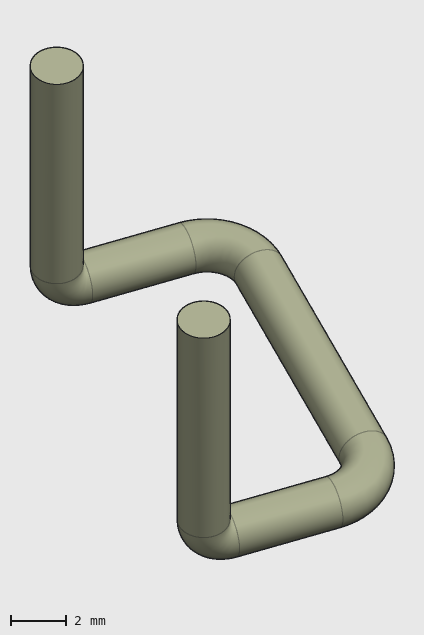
import cadquery as cq
import math

width = 15.9
depth = 8.9
height = 11.95

wire_diameter = 1.91
corner_bend_radius = 2.0
leg_bend_radius = 1.0

wire_radius = wire_diameter / 2
leg_x = width / 2 - wire_radius
leg_y = wire_radius
back_y = depth - wire_radius
base_z = wire_radius
arm_start_y = leg_y + leg_bend_radius
arm_end_y = back_y - corner_bend_radius
bar_end_x = leg_x - corner_bend_radius
leg_start_z = base_z + leg_bend_radius

midpoint_inset = 1 - math.sqrt(0.5)


def leg_bend(side):
    """Centreline arc from the upright leg down into the horizontal arm."""
    inset = leg_bend_radius * midpoint_inset
    x = side * leg_x
    return cq.Edge.makeThreePointArc(
        cq.Vector(x, leg_y, leg_start_z),
        cq.Vector(x, leg_y + inset, base_z + inset),
        cq.Vector(x, arm_start_y, base_z),
    )


def corner_bend(side):
    """Centreline arc from the horizontal arm into the back bar."""
    inset = corner_bend_radius * midpoint_inset
    return cq.Edge.makeThreePointArc(
        cq.Vector(side * leg_x, arm_end_y, base_z),
        cq.Vector(side * (leg_x - inset), back_y - inset, base_z),
        cq.Vector(side * bar_end_x, back_y, base_z),
    )


def side_edges(side):
    """Centreline of one side: leg, leg bend, arm and corner bend."""
    x = side * leg_x
    leg = cq.Edge.makeLine(cq.Vector(x, leg_y, height), cq.Vector(x, leg_y, leg_start_z))
    arm = cq.Edge.makeLine(cq.Vector(x, arm_start_y, base_z), cq.Vector(x, arm_end_y, base_z))
    return [leg, leg_bend(side), arm, corner_bend(side)]


back_bar = cq.Edge.makeLine(
    cq.Vector(-bar_end_x, back_y, base_z),
    cq.Vector(bar_end_x, back_y, base_z),
)
centreline = cq.Wire.assembleEdges(side_edges(-1) + [back_bar] + side_edges(1))

section = cq.Workplane("XY", origin=(-leg_x, leg_y, height)).circle(wire_radius)
result = section.sweep(cq.Workplane(obj=centreline))